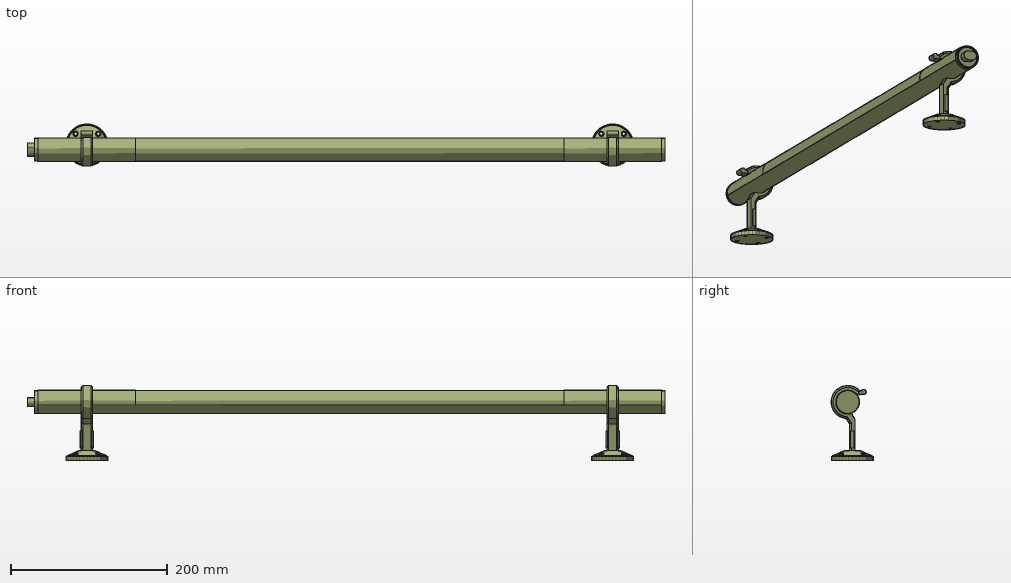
import cadquery as cq
import math

overall_length = 815.0
lamp_length = 806.0
bracket_spacing = 671.0
lamp_y = -5.9
lamp_z = 75.0

cap_diameter = 29.0
surface_step = 0.2
cap_length = 5.0
cover_length = 547.5
lens_edge_angle = 14.0
recess_diameter = 26.0
recess_depth = 2.0
plug_width = 17.0
plug_height = 11.0

base_diameter = 54.0
rim_height = 6.0
cone_diameter = 50.5
cone_bottom_z = 6.5
cone_top_diameter = 19.5
cone_top_z = 13.0
rim_facet_count = 36
screw_circle_radius = 20.0
screw_count = 4
first_screw_angle = 45.0
screw_hole_diameter = 4.2
screw_head_diameter = 6.5
screw_head_floor_z = 4.0
strap_width = 15.0
strap_bevel = 2.5
clip_outer_radius = 21.0
clip_lip_angle = 142.0
clip_root_angle = -110.0
post_thickness = 7.0
rib_bottom_z = 16.0
post_shoulder_z = 53.0
post_bend_z = 47.0
post_join_angle = -75.0
rib_height = 22.0
rib_depth = 4.0
rib_projection = 1.2
bead_diameter = 6.5
bead_y = 15.0
bead_z = 88.0
lip_thickness = 5.0

cap_radius = cap_diameter / 2
lens_radius = cap_radius + surface_step
cover_radius = lens_radius + surface_step
end_cover_radius = cover_radius + surface_step
covered_length = lamp_length - 2 * cap_length
end_cover_length = (covered_length - cover_length) / 2
clip_mid_radius = (end_cover_radius + clip_outer_radius) / 2
plug_length = overall_length - lamp_length


def rod_along_x(radius, length, x_start, y=lamp_y, z=lamp_z):
    """Cylinder parallel to X that starts at x_start."""
    return cq.Workplane("YZ", origin=(x_start, y, z)).circle(radius).extrude(length)


def point_on_clip(radius, angle):
    """(Y, Z) point about the lamp axis, angle in degrees from -Y towards +Z."""
    a = math.radians(angle)
    return (lamp_y - radius * math.cos(a), lamp_z + radius * math.sin(a))


def above_lens_edges(body):
    """Part of a lamp cover that lies above the lens edges."""
    reach = 2 * end_cover_radius
    edge_drop = math.tan(math.radians(lens_edge_angle)) * reach
    above_lens = (
        cq.Workplane("YZ", origin=(-overall_length / 2, lamp_y, lamp_z))
        .polyline([(0, 0), (reach, -edge_drop), (reach, reach), (-reach, reach), (-reach, -edge_drop)])
        .close()
        .extrude(overall_length)
    )
    return body.intersect(above_lens)


def make_lamp():
    """Lamp tube: capped core, lens below, three covers above and a cable plug at the -X end."""
    lamp = rod_along_x(cap_radius, lamp_length, -lamp_length / 2)
    lamp = lamp.union(rod_along_x(lens_radius, covered_length, -covered_length / 2))
    lamp = lamp.union(above_lens_edges(rod_along_x(cover_radius, cover_length, -cover_length / 2)))
    for x_start in (-covered_length / 2, cover_length / 2):
        lamp = lamp.union(above_lens_edges(rod_along_x(end_cover_radius, end_cover_length, x_start)))

    lamp = lamp.cut(rod_along_x(recess_diameter / 2, recess_depth, -lamp_length / 2))
    plug = (
        cq.Workplane("YZ", origin=(-lamp_length / 2 - plug_length, lamp_y, lamp_z))
        .slot2D(plug_width, plug_height)
        .extrude(plug_length + recess_depth)
    )
    return lamp.union(plug)


def screw_cylinders(diameter, floor_z):
    """One upright cylinder per screw, from floor_z to above the base."""
    return (
        cq.Workplane("XY", origin=(0, 0, floor_z))
        .polarArray(screw_circle_radius, first_screw_angle, 360, screw_count)
        .circle(diameter / 2)
        .extrude(cone_top_z)
    )


def make_base():
    """Round foot with a faceted rim, a conical top and four counterbored screw holes."""
    cone = (
        cq.Workplane("XZ")
        .polyline([
            (0, 0),
            (cone_diameter / 2, 0),
            (cone_diameter / 2, cone_bottom_z),
            (cone_top_diameter / 2, cone_top_z),
            (0, cone_top_z),
        ])
        .close()
        .revolve(360, (0, 0), (0, 1))
    )
    rim = cq.Workplane("XY").polygon(rim_facet_count, base_diameter).extrude(rim_height)
    screw_holes = screw_cylinders(screw_hole_diameter, 0)
    head_seats = screw_cylinders(screw_head_diameter, screw_head_floor_z)
    return cone.union(rim).cut(screw_holes).cut(head_seats)


def make_strap():
    """Post and open clip as one bent strap whose outer edges are bevelled."""
    mid_angle = (clip_lip_angle + clip_root_angle) / 2
    clip = (
        cq.Workplane("YZ", origin=(-strap_width / 2, 0, 0))
        .moveTo(*point_on_clip(end_cover_radius, clip_root_angle))
        .lineTo(*point_on_clip(clip_outer_radius, clip_root_angle))
        .threePointArc(
            point_on_clip(clip_outer_radius, mid_angle),
            point_on_clip(clip_outer_radius, clip_lip_angle),
        )
        .lineTo(*point_on_clip(end_cover_radius, clip_lip_angle))
        .threePointArc(
            point_on_clip(end_cover_radius, mid_angle),
            point_on_clip(end_cover_radius, clip_root_angle),
        )
        .close()
        .extrude(strap_width)
        .edges(cq.selectors.RadiusNthSelector(-1))
        .chamfer(strap_bevel)
    )
    half = post_thickness / 2
    front_edges = cq.selectors.BoxSelector(
        (-strap_width, lamp_y - clip_outer_radius, 0),
        (strap_width, -half / 2, lamp_z - clip_outer_radius),
    )
    post = (
        cq.Workplane("YZ", origin=(-strap_width / 2, 0, 0))
        .polyline([
            (-half, rim_height),
            (half, rim_height),
            (half, post_shoulder_z),
            point_on_clip(clip_mid_radius, clip_root_angle),
            point_on_clip(clip_mid_radius, post_join_angle),
            (-half, post_bend_z),
        ])
        .close()
        .extrude(strap_width)
        .edges("not |X")
        .edges(front_edges)
        .chamfer(strap_bevel)
    )
    return post.union(clip)


def make_lip():
    """Rounded bead at the upper end of the clip, carried on a short web."""
    bead = rod_along_x(bead_diameter / 2, strap_width, -strap_width / 2, bead_y, bead_z)
    clip_end = point_on_clip(clip_mid_radius, clip_lip_angle)
    web = (
        cq.Workplane("YZ", origin=(-strap_width / 2, 0, 0))
        .polyline([
            (bead_y, bead_z + lip_thickness / 2),
            (bead_y, bead_z - lip_thickness / 2),
            (clip_end[0], clip_end[1] - lip_thickness / 2),
            (clip_end[0], clip_end[1] + lip_thickness / 2),
        ])
        .close()
        .extrude(strap_width)
    )
    lamp_space = rod_along_x(end_cover_radius, strap_width, -strap_width / 2)
    return bead.union(web).cut(lamp_space)


def make_bracket():
    """Base, strap and lip as one solid, with a rib on either side of the post."""
    ribs = cq.Workplane("XY", origin=(0, 0, rib_bottom_z)).box(
        strap_width + 2 * rib_projection, rib_depth, rib_height, centered=(True, True, False)
    )
    return make_base().union(make_strap()).union(make_lip()).union(ribs)


lamp = make_lamp()
bracket = make_bracket()
brackets = [bracket.translate((side * bracket_spacing / 2, 0, 0)) for side in (-1, 1)]

result = cq.Compound.makeCompound([lamp.val(), *[copy.val() for copy in brackets]])